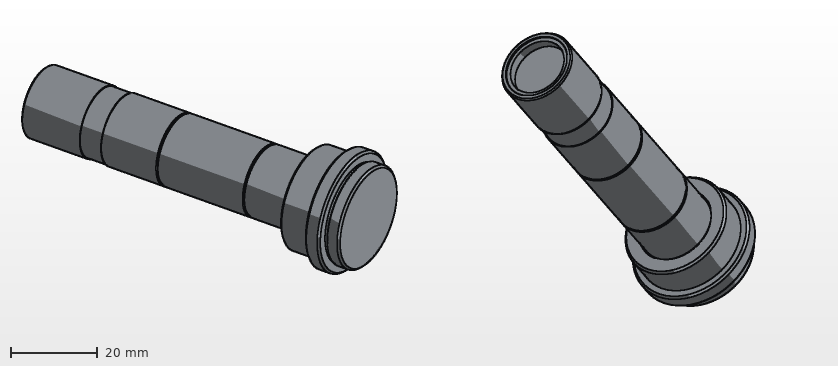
import cadquery as cq

LENGTH = 89.3
RELIEF_START = 16.0
RELIEF_END = 21.8
JOINT_POSITIONS = (37.1, 60.8)
COLLAR_START = 73.2
FLANGE_START = 81.2
FLANGE_END = 85.25
END_RING_START = 86.1

BARREL_DIAMETER = 18.0
RELIEF_DIAMETER = 17.6
COLLAR_DIAMETER = 26.0
FLANGE_DIAMETER = 30.0
NECK_DIAMETER = 24.9
END_RING_DIAMETER = 25.5

BARREL_CHAMFER = 0.4
HEAD_CHAMFER = 0.5
JOINT_WIDTH = 0.5
JOINT_DEPTH = 0.3

CLEARANCE_DIAMETER = 18.6
CLEARANCE_DEPTH = 0.5

RECESS_DIAMETER = 13.75
COUNTERBORE_DIAMETER = 15.7
COUNTERBORE_DEPTH = 0.45
RECESS_DEPTH = 2.9


def cylinder(start, end, diameter):
    """Solid cylinder along X between two axial positions."""
    return cq.Workplane("YZ", origin=(start, 0, 0)).circle(diameter / 2).extrude(end - start)


def joint_groove(center):
    """V-section ring that cuts a joint line around the barrel."""
    radius = BARREL_DIAMETER / 2
    half_width = JOINT_WIDTH / 2
    return (
        cq.Workplane("XY")
        .moveTo(center - half_width, radius)
        .lineTo(center, radius - JOINT_DEPTH)
        .lineTo(center + half_width, radius)
        .close()
        .revolve(360, (0, 0, 0), (1, 0, 0))
    )


def make_barrel():
    front = cylinder(0, RELIEF_START, BARREL_DIAMETER).faces("<X").chamfer(BARREL_CHAMFER)
    relief = cylinder(RELIEF_START, RELIEF_END, RELIEF_DIAMETER)
    rear = cylinder(RELIEF_END, COLLAR_START, BARREL_DIAMETER)
    barrel = front.union(relief).union(rear)
    for position in JOINT_POSITIONS:
        barrel = barrel.cut(joint_groove(position))
    return barrel


def make_head():
    collar = cylinder(COLLAR_START, FLANGE_START, COLLAR_DIAMETER).faces("<X").chamfer(HEAD_CHAMFER)
    flange = cylinder(FLANGE_START, FLANGE_END, FLANGE_DIAMETER).faces("<X or >X").chamfer(HEAD_CHAMFER)
    neck = cylinder(FLANGE_END, END_RING_START, NECK_DIAMETER)
    end_ring = cylinder(END_RING_START, LENGTH, END_RING_DIAMETER).faces(">X").chamfer(HEAD_CHAMFER)
    return collar.union(flange).union(neck).union(end_ring)


def make_clearance():
    end = COLLAR_START + CLEARANCE_DEPTH
    outer = cylinder(COLLAR_START, end, CLEARANCE_DIAMETER)
    return outer.cut(cylinder(COLLAR_START, end, BARREL_DIAMETER))


def make_recess():
    bore = cylinder(0, RECESS_DEPTH, RECESS_DIAMETER)
    counterbore = cylinder(0, COUNTERBORE_DEPTH, COUNTERBORE_DIAMETER)
    return bore.union(counterbore)


result = make_barrel().union(make_head()).cut(make_clearance()).cut(make_recess())